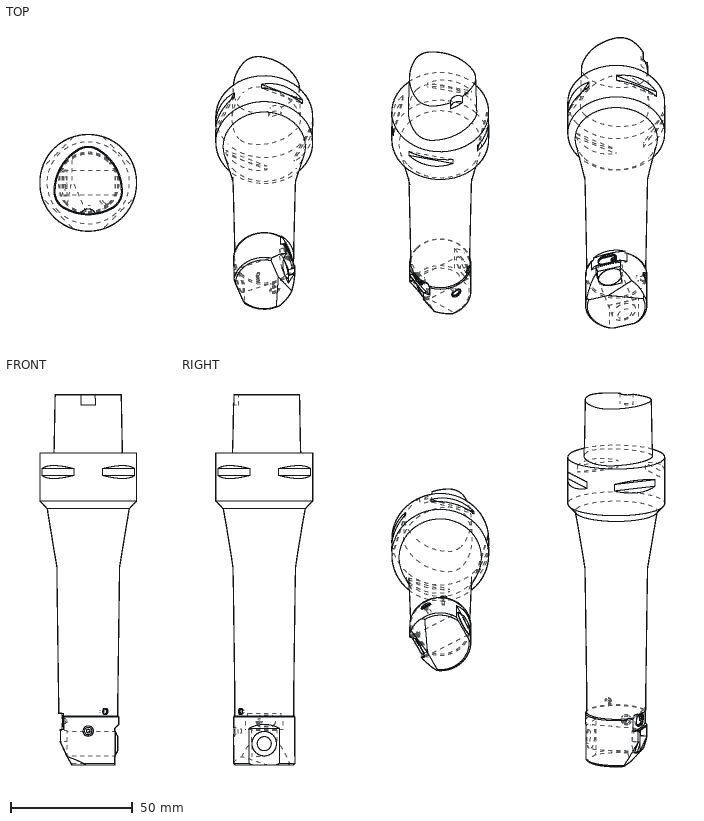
import cadquery as cq
import math

total_height = 152.5
head_height = 19.8
neck_top = 24.9
cone_top = 81.6
flare_top = 105.5
collar_top = 128.5

head_radius = 12.7
neck_radius = 12.2
cone_top_radius = 13.0
flare_top_radius = 17.0
collar_radius = 20.0
collar_chamfer = 3.2
bottom_chamfer = 0.8

shank_width_bottom = 28.2
shank_width_top = 27.3
shank_eccentricity = 0.95
notch_radius = 3.2
notch_depth = 4.3
notch_axis_y = -13.9

groove_count = 4
groove_first_angle = 45.0
groove_z = 120.6
groove_floor_distance = 17.7
groove_floor_width = 2.7
groove_mouth_width = 5.3

pin_radius = 5.0
pin_z = 8.8
pin_start_x = -8.7
pin_end_x = 12.2
pin_tip_radius = 2.9
pin_tip_length = 1.0

relief_x = 11.0
relief_top = 15.1
side_flat_x = -11.6
wedge_top_z = 9.8
wedge_bottom_z = 3.5
toe_x = -6.7
facet_corner_y = -9.2
facet_rim_point = (-2.3, -12.5, 0.9)
facet_end_y = 1.4

recess_half_width = 5.3
recess_top = 14.2

seat_x = -10.8
seat_radius = 33.5
seat_width = 15.2
seat_bottom = 14.6
seat_top = 21.4
slot_y = 0.8
slot_z = 18.1
slot_length = 8.5
slot_rim_width = 5.0
slot_floor_width = 4.3
slot_depth = 0.9
mark_y = -1.8
mark_diameter = 2.1
mark_depth = 0.6
mark_tip_diameter = 1.0
mark_tip_depth = 0.6

clamp_z = 14.0
clamp_rim_diameter = 4.3
clamp_bore_diameter = 3.0
clamp_socket_diameter = 1.5

neck_screw_angle = 36.0
neck_screw_z = 22.1
neck_screw_rim_diameter = 2.6
neck_screw_bore_diameter = 2.0
neck_screw_socket_diameter = 1.0

screw_rim_depth = 0.6
screw_cone_depth = 1.2
screw_socket_depth = 1.5

clearance = 15.2


def turned_body():
    """Head, neck, cone, flare and collar as one revolved outline."""
    head_step = head_radius - neck_radius
    outline = [
        (0, 0),
        (head_radius - bottom_chamfer, 0),
        (head_radius, bottom_chamfer),
        (head_radius, head_height),
        (neck_radius, head_height + head_step),
        (neck_radius, neck_top),
        (cone_top_radius, cone_top),
        (flare_top_radius, flare_top),
        (collar_radius, flare_top + collar_chamfer),
        (collar_radius, collar_top),
        (0, collar_top),
    ]
    return cq.Workplane("XZ").polyline(outline).close().revolve(360, (0, 0), (0, 1))


def trilobe(plane, width):
    """Constant-width outline of six tangent arcs, with one lobe toward +Y."""
    lobe_offset = 2 * shank_eccentricity / (2 - math.sqrt(3))
    lobe_radius = width / 2 + shank_eccentricity - lobe_offset
    lobe_tip = lobe_offset + lobe_radius
    side_middle = width - lobe_tip

    def polar(radius, degrees):
        angle = math.radians(degrees)
        return (radius * math.cos(angle), radius * math.sin(angle))

    join_x = lobe_offset + lobe_radius * math.cos(math.radians(30))
    join_y = lobe_radius * math.sin(math.radians(30))
    join_radius = math.hypot(join_x, join_y)
    join_angle = math.degrees(math.atan2(join_y, join_x))

    outline = plane.moveTo(*polar(join_radius, 90 - join_angle))
    for lobe_angle in (90, 210, 330):
        lobe_end = polar(join_radius, lobe_angle + join_angle)
        next_lobe_start = polar(join_radius, lobe_angle + 120 - join_angle)
        outline = outline.threePointArc(polar(lobe_tip, lobe_angle), lobe_end)
        outline = outline.threePointArc(polar(side_middle, lobe_angle + 60), next_lobe_start)
    return outline.close()


def shank():
    """Tapered trilobe with a round key notch at its top."""
    base = trilobe(cq.Workplane("XY").workplane(offset=collar_top), shank_width_bottom)
    height = total_height - collar_top
    taper = trilobe(base.workplane(offset=height), shank_width_top).loft(ruled=True)
    notch = (
        cq.Workplane("XY", origin=(0, notch_axis_y, total_height - notch_depth))
        .circle(notch_radius)
        .extrude(notch_depth)
    )
    return taper.cut(notch)


def gripper_groove(angle):
    """Flared straight groove, tangent to the collar, at an angle round Z."""
    slope = (groove_mouth_width - groove_floor_width) / 2 / (collar_radius - groove_floor_distance)
    outer_distance = collar_radius + clearance
    outer_half = groove_floor_width / 2 + slope * (outer_distance - groove_floor_distance)
    section = [
        (groove_floor_distance, groove_z - groove_floor_width / 2),
        (outer_distance, groove_z - outer_half),
        (outer_distance, groove_z + outer_half),
        (groove_floor_distance, groove_z + groove_floor_width / 2),
    ]
    groove = cq.Workplane("XZ").polyline(section).close().extrude(collar_radius, both=True)
    return groove.rotate((0, 0, 0), (0, 0, 1), angle)


def head_side_cut(outline):
    """Tool that cuts an XZ outline right across the head."""
    return cq.Workplane("XZ").polyline(outline).close().extrude(2 * head_radius, both=True)


def pin_relief():
    """Flat on the +X side with a 45 degree run-out at its top."""
    outer = relief_x + clearance
    return head_side_cut([
        (relief_x, 0),
        (relief_x, relief_top),
        (outer, relief_top + clearance),
        (outer, 0),
    ])


def wedge_cut():
    """Upright flat on the -X side, below the seat, and two sloping planes under it."""
    outer = side_flat_x - clearance
    return head_side_cut([
        (side_flat_x, wedge_top_z),
        (pin_start_x, wedge_bottom_z),
        (toe_x, 0),
        (outer, 0),
        (outer, seat_bottom),
        (side_flat_x, seat_bottom),
    ])


def facet_cut():
    """Sloping facet under the -X, -Y corner, through three points."""
    corner = cq.Vector(pin_start_x, facet_corner_y, wedge_bottom_z)
    along = cq.Vector(*facet_rim_point) - corner
    across = cq.Vector(toe_x, facet_end_y, 0) - corner
    plane = cq.Plane(origin=corner, xDir=along, normal=across.cross(along))
    facet_tool_size = 6 * head_radius
    return cq.Workplane(plane).rect(facet_tool_size, facet_tool_size).extrude(clearance)


def pin_recess():
    """Recess that shows the pin end: square at the top and at -Y, round at the lower +Y."""
    upper_height = recess_top - wedge_top_z
    lower_height = wedge_top_z - wedge_bottom_z

    def floor(centre_y, centre_z):
        return cq.Workplane("YZ", origin=(pin_start_x, centre_y, centre_z))

    upper_floor = floor(0, recess_top - upper_height / 2)
    lower_floor = floor(-pin_radius / 2, wedge_top_z - lower_height / 2)
    upper = upper_floor.rect(2 * recess_half_width, upper_height).extrude(-clearance)
    lower = lower_floor.rect(pin_radius, lower_height).extrude(-clearance)
    round_end = floor(0, pin_z).circle(pin_radius).extrude(-clearance)
    return upper.union(lower).union(round_end)


def dial_seat_cut():
    """Gently convex seat on the -X side, across the head and neck."""
    height = seat_top - seat_bottom
    axis = (seat_x + seat_radius, 0, seat_bottom)
    seat = cq.Workplane("XY", origin=axis).circle(seat_radius).extrude(height)
    block = cq.Workplane("XY").box(clearance, seat_width, height, centered=(False, True, False))
    return block.translate((-clearance, 0, seat_bottom)).cut(seat)


def dial_slot():
    """Round-ended slot in the seat, with a bevelled rim and a small stepped mark in its floor."""
    bevel = (slot_rim_width - slot_floor_width) / 2
    floor_x = seat_x + slot_depth
    mark_tip_x = floor_x + mark_depth

    slot = (
        cq.Workplane("YZ", origin=(seat_x, slot_y, slot_z))
        .slot2D(slot_length - 2 * bevel, slot_floor_width)
        .extrude(slot_depth)
    )
    rim = (
        cq.Workplane("YZ", origin=(seat_x, slot_y, slot_z))
        .slot2D(slot_length, slot_rim_width)
        .extrude(bevel, taper=45)
    )
    mark = (
        cq.Workplane("YZ", origin=(floor_x, mark_y, slot_z))
        .circle(mark_diameter / 2)
        .extrude(mark_depth)
    )
    mark_tip = (
        cq.Workplane("YZ", origin=(mark_tip_x, mark_y, slot_z))
        .circle(mark_tip_diameter / 2)
        .extrude(mark_tip_depth)
    )
    return slot.union(rim).union(mark).union(mark_tip)


def screw_hole(surface_radius, rim_diameter, bore_diameter, socket_diameter):
    """Radial hole at -Y, on Z = 0: straight rim, conical seat and a small socket."""
    rim_floor = surface_radius - screw_rim_depth
    cone_floor = rim_floor - screw_cone_depth
    socket_floor = cone_floor - screw_socket_depth
    outline = [
        (0, -surface_radius),
        (rim_diameter / 2, -surface_radius),
        (rim_diameter / 2, -rim_floor),
        (bore_diameter / 2, -rim_floor),
        (socket_diameter / 2, -cone_floor),
        (socket_diameter / 2, -socket_floor),
        (0, -socket_floor),
    ]
    return cq.Workplane("XY").polyline(outline).close().revolve(360, (0, 0), (0, 1))


def clamp_screw_hole():
    """Screw hole that points at the middle of the head from -Y."""
    hole = screw_hole(head_radius, clamp_rim_diameter, clamp_bore_diameter, clamp_socket_diameter)
    return hole.translate((0, 0, clamp_z))


def neck_screw_hole():
    """Smaller screw hole just above the head."""
    hole = screw_hole(
        neck_radius,
        neck_screw_rim_diameter,
        neck_screw_bore_diameter,
        neck_screw_socket_diameter,
    )
    return hole.rotate((0, 0, 0), (0, 0, 1), neck_screw_angle).translate((0, 0, neck_screw_z))


def make_pin():
    """Round pin along X with a conical tip at +X."""
    tip_start = pin_end_x - pin_tip_length
    outline = [
        (pin_start_x, 0),
        (pin_start_x, pin_radius),
        (tip_start, pin_radius),
        (pin_end_x, pin_tip_radius),
        (pin_end_x, 0),
    ]
    body = cq.Workplane("XY").polyline(outline).close().revolve(360, (0, 0), (1, 0))
    return body.translate((0, 0, pin_z))


def make_holder():
    """Tool holder with all its cuts, except the bore for the pin."""
    body = turned_body().union(shank())
    for index in range(groove_count):
        body = body.cut(gripper_groove(groove_first_angle + index * 360 / groove_count))
    cuts = (
        pin_relief(),
        wedge_cut(),
        facet_cut(),
        pin_recess(),
        dial_seat_cut(),
        dial_slot(),
        clamp_screw_hole(),
        neck_screw_hole(),
    )
    for tool in cuts:
        body = body.cut(tool)
    return body


pin = make_pin()
holder = make_holder().cut(pin)

result = cq.Compound.makeCompound([holder.val(), pin.val()])